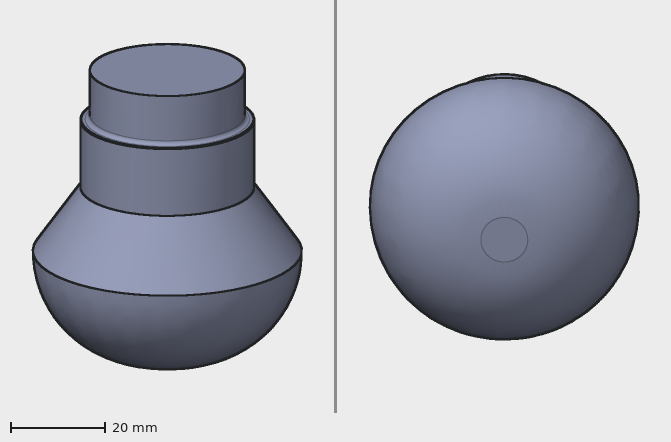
import cadquery as cq

total_height = 64.4
collar_top = 53.3
collar_bottom = 38.05
rim_height = 23.6

spigot_radius = 33.0 / 2
collar_radius = 37.0 / 2
rim_radius = 57.2 / 2

root_fillet = 0.95
collar_chamfer = 0.2

bowl_radius = rim_height
base_radius = rim_radius - bowl_radius
arc_diagonal = bowl_radius / 2**0.5
bowl_midpoint = (base_radius + arc_diagonal, rim_height - arc_diagonal)

fillet_center = (spigot_radius + root_fillet, collar_top + root_fillet)
fillet_diagonal = root_fillet / 2**0.5
fillet_midpoint = (fillet_center[0] - fillet_diagonal, fillet_center[1] - fillet_diagonal)

profile = (
    cq.Workplane("XZ")
    .lineTo(base_radius, 0)
    .threePointArc(bowl_midpoint, (rim_radius, rim_height))
    .lineTo(collar_radius, collar_bottom)
    .lineTo(collar_radius, collar_top - collar_chamfer)
    .lineTo(collar_radius - collar_chamfer, collar_top)
    .lineTo(fillet_center[0], collar_top)
    .threePointArc(fillet_midpoint, (spigot_radius, fillet_center[1]))
    .lineTo(spigot_radius, total_height)
    .lineTo(0, total_height)
    .close()
)

result = profile.revolve(360, (0, 0, 0), (0, 1, 0))